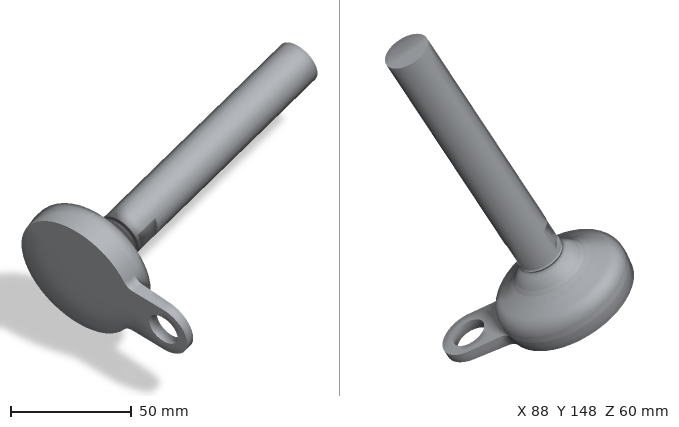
import cadquery as cq

TOTAL_LENGTH = 148.0
TOTAL_WIDTH = 88.0

STEM_RADIUS = 10.0
STEM_SHOULDER_Y = 28.4
NECK_RADIUS = 8.0
COLLAR_RADIUS = 9.8
COLLAR_Y = 27.1
COLLAR_BASE_RADIUS = 9.2
FLATS_WIDTH = 17.0
FLATS_BOTTOM_Y = 29.9
FLATS_LENGTH = 11.5

SOLE_RADIUS = 29.2
RIM_RADIUS = 60.0 / 2
RIM_BOTTOM_Y = 5.9
RIM_TOP_Y = 9.2
SHOULDER_RADIUS = 25.2
SHOULDER_Y = 15.7
RIM_ROUND_MID = (28.7, 12.9)
FLANK_RADIUS = 16.7
FLANK_Y = 19.8
FLANK_MID = (20.7, 17.6)
CROWN_RADIUS = 15.1
CROWN_Y = 21.3
CROWN_MID = (12.7, 24.1)
PAD_TOP_RADIUS = 9.6
PAD_TOP_Y = 26.0

LUG_HALF_WIDTH = 12.6
LUG_TIP_X = TOTAL_WIDTH - RIM_RADIUS
LUG_HOLE_X = LUG_TIP_X - LUG_HALF_WIDTH
LUG_HOLE_DIAMETER = 15.0
LUG_ROOT_FILLET = 5.0
ROOT_SEARCH = 0.1
LUG_ROOT_HEIGHT = 5.5
LUG_TIP_HEIGHT = 4.0


def revolve_about_y(profile):
    """Turn a closed (radius, y) profile around the Y axis."""
    return profile.revolve(360, (0, 0, 0), (0, 1, 0))


def extrude_from_sole(sketch, height):
    """Extrude an XZ sketch from the sole towards +Y."""
    return sketch.extrude(-height)


def make_stem():
    profile = (
        cq.Workplane("XY")
        .moveTo(0, PAD_TOP_Y)
        .lineTo(COLLAR_BASE_RADIUS, PAD_TOP_Y)
        .lineTo(COLLAR_RADIUS, COLLAR_Y)
        .lineTo(NECK_RADIUS, STEM_SHOULDER_Y)
        .lineTo(STEM_RADIUS, STEM_SHOULDER_Y)
        .lineTo(STEM_RADIUS, TOTAL_LENGTH)
        .lineTo(0, TOTAL_LENGTH)
        .close()
    )
    stem = revolve_about_y(profile)

    for side in (-1, 1):
        cutter = cq.Workplane("XY").box(
            STEM_RADIUS, FLATS_LENGTH, 2 * STEM_RADIUS
        ).translate((
            side * (FLATS_WIDTH + STEM_RADIUS) / 2,
            FLATS_BOTTOM_Y + FLATS_LENGTH / 2,
            0,
        ))
        stem = stem.cut(cutter)
    return stem


def make_pad_body():
    profile = (
        cq.Workplane("XY")
        .lineTo(SOLE_RADIUS, 0)
        .lineTo(RIM_RADIUS, RIM_BOTTOM_Y)
        .lineTo(RIM_RADIUS, RIM_TOP_Y)
        .threePointArc(RIM_ROUND_MID, (SHOULDER_RADIUS, SHOULDER_Y))
        .threePointArc(FLANK_MID, (FLANK_RADIUS, FLANK_Y))
        .lineTo(CROWN_RADIUS, CROWN_Y)
        .threePointArc(CROWN_MID, (PAD_TOP_RADIUS, PAD_TOP_Y))
        .lineTo(0, PAD_TOP_Y)
        .close()
    )
    return revolve_about_y(profile)


def make_lug():
    top_slope = (LUG_TIP_HEIGHT - LUG_ROOT_HEIGHT) / (LUG_TIP_X - RIM_RADIUS)
    axis_height = LUG_ROOT_HEIGHT - top_slope * RIM_RADIUS

    outline = (
        cq.Workplane("XZ")
        .moveTo(0, -LUG_HALF_WIDTH)
        .lineTo(LUG_HOLE_X, -LUG_HALF_WIDTH)
        .threePointArc((LUG_TIP_X, 0), (LUG_HOLE_X, LUG_HALF_WIDTH))
        .lineTo(0, LUG_HALF_WIDTH)
        .close()
    )
    wedge = (
        cq.Workplane("XY")
        .polyline([(0, 0), (LUG_TIP_X, 0), (LUG_TIP_X, LUG_TIP_HEIGHT), (0, axis_height)])
        .close()
        .extrude(SOLE_RADIUS, both=True)
    )
    return extrude_from_sole(outline, axis_height).intersect(wedge)


def make_foot():
    hole = extrude_from_sole(
        cq.Workplane("XZ").center(LUG_HOLE_X, 0).circle(LUG_HOLE_DIAMETER / 2),
        LUG_ROOT_HEIGHT,
    )
    foot = make_pad_body().union(make_lug())

    for side in (-1, 1):
        root_edge = cq.selectors.BoxSelector(
            (SOLE_RADIUS / 2, -ROOT_SEARCH, side * (LUG_HALF_WIDTH - ROOT_SEARCH)),
            (RIM_RADIUS, RIM_BOTTOM_Y, side * (LUG_HALF_WIDTH + ROOT_SEARCH)),
            boundingbox=True,
        )
        foot = foot.edges(root_edge).fillet(LUG_ROOT_FILLET)
    return foot.cut(hole).solids()


stem = make_stem()
foot = make_foot()

result = cq.Compound.makeCompound([stem.val(), foot.val()])